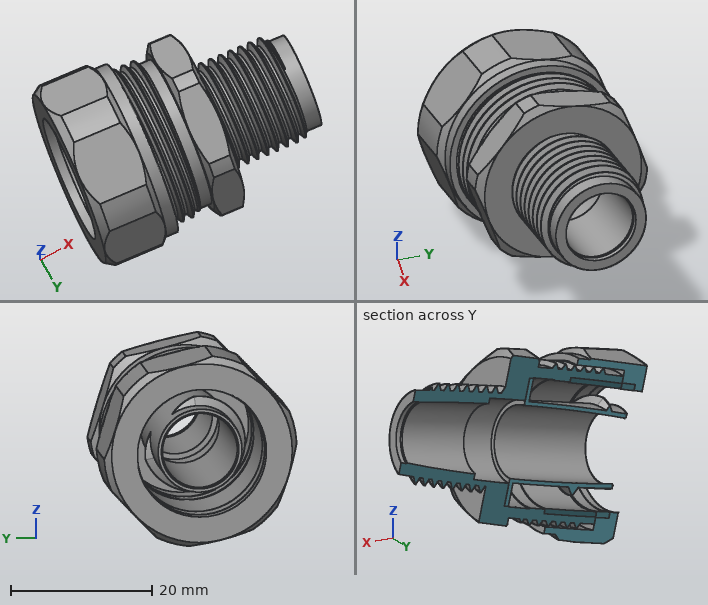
import cadquery as cq
import math


ELEVATION = 12.2
HEADING = 9.2
HEX_ROLL = 15.1
MOUTH_CENTRE = (-16.58, -1.48, -2.05)

NUT_ACROSS_FLATS = 25.95
NUT_CORNER_R = 13.8
NUT_FACE_R = 12.95
NUT_FRONT_CHAMFER = 1.3
NUT_HEX_END = 8.45
NUT_COLLAR_START = 9.35
NUT_LENGTH = 11.2
NUT_LIP = 1.4
NUT_MOUTH_R = 18.5 / 2
NUT_THREAD_R = 11.9

RING_END = 3.5
RING_BORE_R = 18.4 / 2
SEAL_BORE_R = 18.5 / 2
SEAL_OUTER_R = 20.15 / 2
SEAL_END = 11.8
SEAL_CHAMFER = 0.2

BODY_BARREL_R = 22.2 / 2
BODY_HEX_START = 17.17
BODY_HEX_CORNER_START = 17.95
BODY_HEX_CORNER_END = 21.15
BODY_HEX_END = 21.85
BODY_ACROSS_FLATS = 24.0
BODY_CORNER_R = 13.22
BODY_LENGTH = 36.0
BODY_BORE_R = 10.5 / 2
BODY_COUNTERBORE_R = 12.1 / 2
BODY_COUNTERBORE_END = 23.9
BODY_SLEEVE_R = 18.7 / 2
BODY_SLEEVE_END = 14.2
BODY_SOCKET_R = 18.9 / 2
SPIGOT_R = 13.8 / 2
END_LIP_R = 10.7 / 2
END_LIP_LENGTH = 0.8
END_LIP_TAPER = 0.2

RIDGE_SINK = 0.1

PITCH = 1.5
RUN_OUT_PITCH = 0.65
THREAD_BASE = 1.2
THREAD_CREST = 0.15
BARREL_THREAD_R = 11.85
BARREL_THREAD_START = 6.15
BARREL_THREAD_TURNS = 5.8
BARREL_RUN_OUT_TURNS = 0.6
SPIGOT_THREAD_R = 15.75 / 2
SPIGOT_THREAD_START = 20.95
SPIGOT_THREAD_TURNS = 8
SPIGOT_RUN_OUT_TURNS = 0.9

FERRULE_TIP = 1.7
FERRULE_TUBE_R = 12.02 / 2
FERRULE_BORE_R = 10.7 / 2
FERRULE_TIP_CHAMFER = 0.2
FLANGE_START = 17.57
FLANGE_END = 18.3
RIB_R = 7.2
RIB_START = 4.87
RIB_PITCH = 5.6
RIB_BASE = 1.85
RIB_CREST = 0.15
RIB_ANGLE = 175.0
RIB_TURNS = 0.7
RIB_RUN_OUT_TURNS = 0.09


def turned(profile):
    """Solid of revolution about Z from (radius, height) points."""
    return cq.Workplane("XZ").polyline(profile).close().revolve(360, (0, 0), (0, 1))


def hexagon(across_flats, length):
    """Hexagonal prism from Z = 0 in the roll shared by both hexagons."""
    corner_diameter = across_flats / math.cos(math.radians(30))
    prism = cq.Workplane("XY").polygon(6, corner_diameter).extrude(length)
    return prism.rotate((0, 0, 0), (0, 0, 1), HEX_ROLL)


def ridge_section(core_r, crest_r, base, crest):
    """Trapezium section of a ridge, rooted a little way into its core."""
    root_r = core_r - RIDGE_SINK
    return cq.Workplane("XZ").polyline(
        [(root_r, -base / 2), (crest_r, -crest / 2), (crest_r, crest / 2), (root_r, base / 2)]
    ).close()


def helical_ridge(core_r, crest_r, pitch, turns, base, crest):
    """Right-handed ridge that starts on the XZ plane at Z = 0."""
    path = cq.Workplane(obj=cq.Wire.makeHelix(pitch, pitch * turns, core_r))
    return ridge_section(core_r, crest_r, base, crest).sweep(path, isFrenet=True)


def run_out(core_r, crest_r, pitch, turns, base, crest):
    """Continuation of a ridge along a cone, on which it sinks into its core."""
    rise = pitch * turns
    slope = math.atan((crest_r - core_r) / rise)
    stretch = 1 / math.cos(slope)
    path = cq.Workplane(
        obj=cq.Wire.makeHelix(pitch * stretch, rise * stretch, core_r, angle=-math.degrees(slope))
    )
    return ridge_section(core_r, crest_r, base, crest).sweep(path, isFrenet=True)


def at_turn(ridge, pitch, turns):
    """Move a ridge along a helix by a number of turns."""
    return ridge.rotate((0, 0, 0), (0, 0, 1), 360 * turns).translate((0, 0, pitch * turns))


def thread(core_r, crest_r, start, turns, run_out_turns):
    """Pieces of a body thread: the full ridge and the run-out at its far end."""
    full = helical_ridge(core_r, crest_r, PITCH, turns, THREAD_BASE, THREAD_CREST)
    tail = run_out(core_r, crest_r, RUN_OUT_PITCH, run_out_turns, THREAD_BASE, THREAD_CREST)
    tail = at_turn(tail, PITCH, turns)
    return [piece.translate((0, 0, start)) for piece in (full, tail)]


def make_nut():
    envelope = turned([
        (0, 0),
        (NUT_FACE_R, 0),
        (NUT_CORNER_R, NUT_FRONT_CHAMFER),
        (NUT_CORNER_R, NUT_HEX_END),
        (NUT_FACE_R, NUT_COLLAR_START),
        (NUT_FACE_R, NUT_LENGTH),
        (0, NUT_LENGTH),
    ])
    collar = cq.Workplane("XY").circle(NUT_FACE_R).extrude(NUT_LENGTH)
    blank = hexagon(NUT_ACROSS_FLATS, NUT_LENGTH).union(collar).intersect(envelope)
    cavity = turned([
        (0, 0),
        (NUT_MOUTH_R, 0),
        (NUT_MOUTH_R, NUT_LIP),
        (SEAL_OUTER_R, NUT_LIP),
        (SEAL_OUTER_R, RING_END),
        (NUT_THREAD_R, RING_END),
        (NUT_THREAD_R, NUT_LENGTH),
        (0, NUT_LENGTH),
    ])
    return blank.cut(cavity)


def make_grip_ring():
    return turned([
        (RING_BORE_R, NUT_LIP),
        (SEAL_OUTER_R, NUT_LIP),
        (SEAL_OUTER_R, RING_END),
        (RING_BORE_R, RING_END),
    ])


def make_seal():
    return turned([
        (SEAL_BORE_R + SEAL_CHAMFER, RING_END),
        (SEAL_OUTER_R, RING_END),
        (SEAL_OUTER_R, SEAL_END),
        (SEAL_BORE_R, SEAL_END),
        (SEAL_BORE_R, RING_END + SEAL_CHAMFER),
    ])


def make_body():
    barrel = cq.Workplane("XY").workplane(offset=RING_END).circle(BODY_BARREL_R)
    barrel = barrel.extrude(BODY_HEX_CORNER_END - RING_END)
    spigot = cq.Workplane("XY").workplane(offset=BODY_HEX_CORNER_START).circle(SPIGOT_R)
    spigot = spigot.extrude(BODY_LENGTH - BODY_HEX_CORNER_START)
    flat_r = BODY_ACROSS_FLATS / 2
    collar = turned([
        (0, BODY_HEX_START),
        (flat_r, BODY_HEX_START),
        (BODY_CORNER_R, BODY_HEX_CORNER_START),
        (BODY_CORNER_R, BODY_HEX_CORNER_END),
        (flat_r, BODY_HEX_END),
        (0, BODY_HEX_END),
    ]).intersect(hexagon(BODY_ACROSS_FLATS, BODY_LENGTH))
    for ridge in thread(
        BODY_BARREL_R, BARREL_THREAD_R, BARREL_THREAD_START, BARREL_THREAD_TURNS, BARREL_RUN_OUT_TURNS
    ):
        barrel = barrel.union(ridge)
    for ridge in thread(
        SPIGOT_R, SPIGOT_THREAD_R, SPIGOT_THREAD_START, SPIGOT_THREAD_TURNS, SPIGOT_RUN_OUT_TURNS
    ):
        spigot = spigot.union(ridge)
    bore = turned([
        (0, RING_END),
        (SEAL_OUTER_R, RING_END),
        (SEAL_OUTER_R, SEAL_END),
        (BODY_SLEEVE_R, SEAL_END),
        (BODY_SLEEVE_R, BODY_SLEEVE_END),
        (BODY_SOCKET_R, BODY_SLEEVE_END),
        (BODY_SOCKET_R, FLANGE_END),
        (BODY_COUNTERBORE_R, FLANGE_END),
        (BODY_COUNTERBORE_R, BODY_COUNTERBORE_END),
        (BODY_BORE_R, BODY_COUNTERBORE_END),
        (BODY_BORE_R, BODY_LENGTH - END_LIP_LENGTH - END_LIP_TAPER),
        (END_LIP_R, BODY_LENGTH - END_LIP_LENGTH),
        (END_LIP_R, BODY_LENGTH),
        (0, BODY_LENGTH),
    ])
    return barrel.union(collar).union(spigot).cut(bore)


def make_rib():
    """Pieces of the helical rib of the ferrule, with a run-out at each end."""
    full = helical_ridge(FERRULE_TUBE_R, RIB_R, RIB_PITCH, RIB_TURNS, RIB_BASE, RIB_CREST)
    tail = run_out(FERRULE_TUBE_R, RIB_R, RIB_PITCH, RIB_RUN_OUT_TURNS, RIB_BASE, RIB_CREST)
    lead = tail.rotate((0, 0, 0), (1, 0, 0), 180)
    pieces = [lead, full, at_turn(tail, RIB_PITCH, RIB_TURNS)]
    return [
        piece.rotate((0, 0, 0), (0, 0, 1), RIB_ANGLE).translate((0, 0, RIB_START))
        for piece in pieces
    ]


def make_ferrule():
    ferrule = turned([
        (0, FERRULE_TIP),
        (FERRULE_TUBE_R, FERRULE_TIP),
        (FERRULE_TUBE_R, FLANGE_START),
        (BODY_SOCKET_R, FLANGE_START),
        (BODY_SOCKET_R, FLANGE_END),
        (0, FLANGE_END),
    ])
    for piece in make_rib():
        ferrule = ferrule.union(piece)
    bore = turned([
        (0, FERRULE_TIP),
        (FERRULE_BORE_R + FERRULE_TIP_CHAMFER, FERRULE_TIP),
        (FERRULE_BORE_R, FERRULE_TIP + FERRULE_TIP_CHAMFER),
        (FERRULE_BORE_R, FLANGE_END),
        (0, FLANGE_END),
    ])
    return ferrule.cut(bore)


def placed(part):
    tilted = part.rotate((0, 0, 0), (0, 1, 0), 90 - ELEVATION)
    return tilted.rotate((0, 0, 0), (0, 0, 1), HEADING).translate(MOUTH_CENTRE)


nut = placed(make_nut())
grip_ring = placed(make_grip_ring())
seal = placed(make_seal())
ferrule = placed(make_ferrule())
body = placed(make_body())

result = cq.Compound.makeCompound(
    [nut.val(), grip_ring.val(), seal.val(), ferrule.val(), body.val()]
)